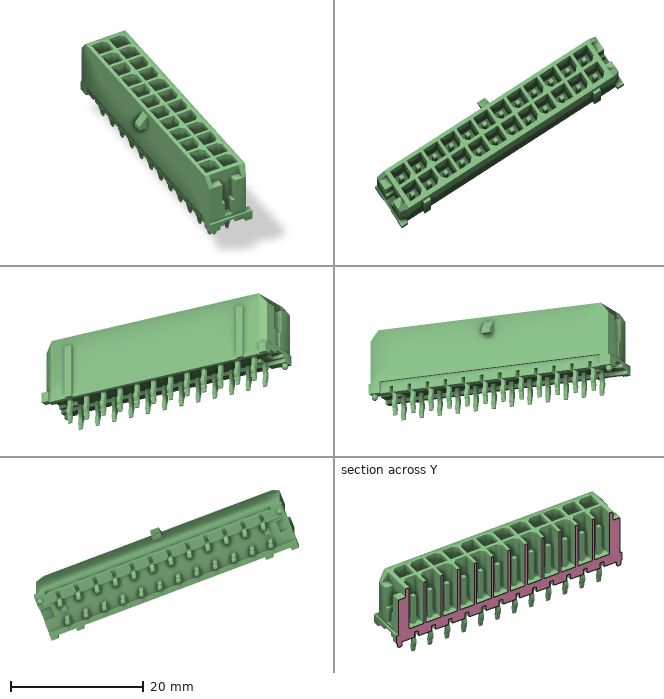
import cadquery as cq


overall_length = 40.15
half_length = overall_length / 2
foot_step = 0.32
half_body = half_length - foot_step
half_top = 18.45
body_depth = 6.85
body_height = 9.85
shoulder_height = 8.25
foot_height = 1.55
foot_depth = 7.35
foot_tail_width = 1.15
back_corner_length = 1.12
back_corner_depth = 0.5

contact_count = 12
contact_span = 33.0
contact_pitch = contact_span / (contact_count - 1)
row_pitch = 3.0
front_row_y = 1.85
back_row_y = front_row_y + row_pitch
middle_y = (front_row_y + back_row_y) / 2
cavity_size = 2.53
cavity_chamfer = 0.65
cavity_floor = 2.05
pin_size = 0.6
pin_top = 7.23

front_row_keys = "LLRLRRRRLRLL"
back_row_keys = "LLRRLRRRLRLL"

shank_end = -0.6
bow_end = -2.2
neck_end = -2.4
tail_end = -3.25
outer_bow = 0.25
inner_bow = 0.15
tip_thickness = 0.25

end_front_y = 0.72
end_back_y = 5.8
end_slot_width = 2.13
end_slot_step = 4.58
end_narrow_width = 1.2
end_narrow_floor = cavity_floor
end_slot_y = 3.37

channel_front_y = 1.8
channel_back_y = 6.15
channel_height = 0.6
end_notch_width = 1.95
end_notch_top = 1.15
end_wall = 1.75
standoff_size = 0.8
front_recess_height = 1.75
front_recess_depth = 0.4
pin_slot_height = 0.95

latch_width = 1.4
latch_reach = 1.4
latch_top = 9.2
latch_nose_top = 7.6
latch_nose_bottom = 6.95
latch_root_radius = 0.72

key_width = 1.15
key_x = 15.35
peg_diameter = 0.9
peg_length = 0.85
peg_chamfer = 0.25
peg_x = 19.47
peg_y = 0.92


def block(x0, x1, y0, y1, z0, z1):
    """Box between two opposite corners."""
    return cq.Workplane("XY").box(x1 - x0, y1 - y0, z1 - z0, centered=False).translate((x0, y0, z0))


def both_ends(left_shape):
    """The left-end shape together with its mirror image at the right end."""
    return left_shape.union(left_shape.mirror("YZ"))


def contact_x(index):
    return -contact_span / 2 + index * contact_pitch


def make_body():
    front_outline = [
        (-half_body, 0),
        (half_body, 0),
        (half_body, shoulder_height),
        (half_top, body_height),
        (-half_top, body_height),
        (-half_body, shoulder_height),
    ]
    body = cq.Workplane("XZ").polyline(front_outline).close().extrude(-body_depth)
    corner = (
        cq.Workplane("XY")
        .moveTo(-half_body, body_depth)
        .lineTo(-half_body + back_corner_length, body_depth)
        .lineTo(-half_body, body_depth - back_corner_depth)
        .close()
        .extrude(body_height)
    )
    return body.cut(both_ends(corner))


def make_foot():
    foot = block(-half_length, -half_length + end_wall, 0, body_depth, 0, foot_height)
    tail = block(
        -half_length, -half_length + foot_tail_width,
        body_depth - back_corner_depth, foot_depth, 0, foot_height,
    )
    return foot.union(tail)


def make_end_openings():
    """Cut above the shoulders and the stepped slot in the left end face."""
    above_shoulder = block(-half_length, -half_top, end_front_y, end_back_y, shoulder_height, body_height)
    half_slot = end_slot_width / 2
    half_narrow = end_narrow_width / 2
    wide = block(
        -half_length, -half_top, end_slot_y - half_slot, end_slot_y + half_slot, end_slot_step, body_height
    )
    narrow = block(
        -half_length, -half_top, end_slot_y - half_narrow, end_slot_y + half_narrow,
        end_narrow_floor, end_slot_step,
    )
    return above_shoulder.union(wide).union(narrow)


def make_cavity(x, y, key):
    half = cavity_size / 2
    cavity = block(x - half, x + half, y - half, y + half, cavity_floor, body_height)
    corner = "<X and >Y" if key == "L" else ">X and >Y"
    return cavity.edges("|Z").edges(corner).chamfer(cavity_chamfer)


def make_pin(x, y, outward):
    """Pin with its tail bowed along outward (-1 = front, +1 = back)."""
    half = pin_size / 2
    half_tip = tip_thickness / 2
    bow_middle = (shank_end + bow_end) / 2
    profile = (
        cq.Workplane("YZ")
        .moveTo(-half, pin_top)
        .lineTo(-half, shank_end)
        .threePointArc((-half + inner_bow, bow_middle), (-half, bow_end))
        .lineTo(-half, neck_end)
        .lineTo(-half_tip, tail_end)
        .lineTo(half_tip, tail_end)
        .lineTo(half, neck_end)
        .lineTo(half, bow_end)
        .threePointArc((half + outer_bow, bow_middle), (half, shank_end))
        .lineTo(half, pin_top)
        .close()
    )
    pin = profile.extrude(half, both=True)
    if outward < 0:
        pin = pin.mirror("XZ")
    return pin.translate((x, y, 0))


def make_latch():
    return (
        cq.Workplane("YZ")
        .moveTo(0, latch_top)
        .lineTo(-latch_reach, latch_nose_top)
        .lineTo(-latch_reach, latch_nose_bottom)
        .lineTo(-latch_root_radius, latch_nose_bottom)
        .radiusArc((0, latch_nose_bottom - latch_root_radius), latch_root_radius)
        .close()
        .extrude(latch_width / 2, both=True)
    )


def make_peg():
    return (
        cq.Workplane("XY")
        .circle(peg_diameter / 2)
        .extrude(-peg_length)
        .faces("<Z")
        .chamfer(peg_chamfer)
        .translate((-peg_x, peg_y, 0))
    )


def make_standoff():
    """Square foot midway between the two pins of the first column."""
    half = standoff_size / 2
    x = contact_x(0)
    return block(x - half, x + half, middle_y - half, middle_y + half, 0, cavity_floor)


def make_key():
    """Upright rib on the back wall."""
    half = key_width / 2
    return block(-key_x - half, -key_x + half, body_depth, foot_depth, 0, shoulder_height)


def make_underside_cuts():
    """Lengthwise channel, end notches and the shallow recess along the front."""
    channel = block(-half_length, half_length, channel_front_y, channel_back_y, 0, channel_height)
    half_notch = end_notch_width / 2
    end_notch = block(
        -half_length, -half_length + end_wall, middle_y - half_notch, middle_y + half_notch, 0, end_notch_top
    )
    half_recess = half_length - end_wall
    recess = block(-half_recess, half_recess, 0, front_recess_depth, 0, front_recess_height)
    return channel.union(both_ends(end_notch)).union(recess)


def make_pin_slot(x):
    """Slot through the front skirt beside a front pin."""
    half = pin_size / 2
    return block(x - half, x + half, 0, channel_front_y, 0, pin_slot_height)


housing = make_body().union(both_ends(make_foot()))
housing = housing.cut(both_ends(make_end_openings())).cut(make_underside_cuts())
housing = housing.union(both_ends(make_key())).union(make_latch())
housing = housing.union(both_ends(make_peg())).union(both_ends(make_standoff()))

for index in range(contact_count):
    x = contact_x(index)
    housing = housing.cut(make_cavity(x, front_row_y, front_row_keys[index]))
    housing = housing.cut(make_cavity(x, back_row_y, back_row_keys[index]))
    housing = housing.cut(make_pin_slot(x))

result = housing
for index in range(contact_count):
    x = contact_x(index)
    result = result.union(make_pin(x, front_row_y, -1))
    result = result.union(make_pin(x, back_row_y, 1))